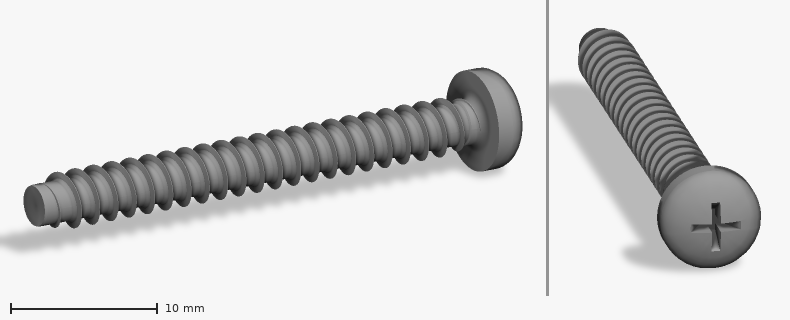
import cadquery as cq
import math


total_length = 38.05
head_height = 3.05
head_radius = 3.5
rim_height = 1.15
underhead_y = total_length - head_height
rim_y = underhead_y + rim_height

recess_span = 3.8
recess_floor_span = 1.52
recess_width = 0.6
recess_depth = 1.9

core_radius = 1.45
neck_radius = 1.55
neck_fillet = 0.57
neck_length = 1.03
tip_radius = 1.4
tip_taper_length = 0.2
tip_dish_depth = 0.15

crest_radius = 2.0
crest_width = 0.05
shoulder_radius = 1.6
shoulder_width = 0.23
foot_width = 0.95
foot_burial = 0.05

first_crossing_y = 2.55
last_crossing_y = 31.75
turns_between = 20
pitch = (last_crossing_y - first_crossing_y) / turns_between

thread_start_y = 0.5
thread_full_y = 2.13
thread_fade_y = 32.57
thread_end_y = 34.8
start_sink = 0.6
end_sink = 0.4
points_per_turn = 16


def make_body():
    """Revolve the domed head, neck, core and tip in one outline."""
    fillet_mid = neck_fillet * (1 - math.sqrt(0.5))
    neck_end_y = underhead_y - neck_length
    return (
        cq.Workplane("XY")
        .moveTo(0, 0)
        .lineTo(tip_radius, 0)
        .lineTo(core_radius, tip_taper_length)
        .lineTo(core_radius, neck_end_y - (neck_radius - core_radius))
        .lineTo(neck_radius, neck_end_y)
        .lineTo(neck_radius, underhead_y - neck_fillet)
        .threePointArc(
            (neck_radius + fillet_mid, underhead_y - fillet_mid),
            (neck_radius + neck_fillet, underhead_y),
        )
        .lineTo(head_radius, underhead_y)
        .lineTo(head_radius, rim_y)
        .ellipseArc(head_radius, total_length - rim_y, 0, 90, sense=1)
        .close()
        .revolve(360, (0, 0, 0), (0, 1, 0))
    )


def make_tip_dish():
    """Shallow hollow cone in the flat end of the tip."""
    return (
        cq.Workplane("XY")
        .polyline([(0, 0), (tip_radius, 0), (0, tip_dish_depth)])
        .close()
        .revolve(360, (0, 0, 0), (0, 1, 0))
    )


def make_recess():
    """Two crossed wings whose outer ends taper inwards towards the floor."""
    floor_y = total_length - recess_depth
    wing = (
        cq.Workplane("XY")
        .moveTo(-recess_floor_span / 2, floor_y)
        .lineTo(recess_floor_span / 2, floor_y)
        .lineTo(recess_span / 2, total_length)
        .lineTo(-recess_span / 2, total_length)
        .close()
        .extrude(recess_width / 2, both=True)
    )
    return wing.union(wing.rotate((0, 0, 0), (0, 1, 0), 90))


def tooth_sink(y):
    """Inward shift of the tooth, which fades it into the shank at both ends."""
    if y < thread_full_y:
        return start_sink * (thread_full_y - y) / (thread_full_y - thread_start_y)
    if y > thread_fade_y:
        return end_sink * (y - thread_fade_y) / (thread_end_y - thread_fade_y)
    return 0.0


def tooth_edge(radius, offset, start_y, end_y):
    """One long edge of the right-handed tooth, offset along the axis from its middle."""
    steps = math.ceil((end_y - start_y) / pitch * points_per_turn)
    points = []
    for step in range(steps + 1):
        y = start_y + (end_y - start_y) * step / steps
        angle = 2 * math.pi * (y - first_crossing_y) / pitch
        edge_radius = radius - tooth_sink(y)
        points.append(
            cq.Vector(edge_radius * math.cos(angle), y + offset, -edge_radius * math.sin(angle))
        )
    return cq.Edge.makeSpline(points)


def make_thread():
    """Close the tooth with ruled faces between its edges and a flat cap at each end."""
    profile = [
        (core_radius - foot_burial, -foot_width / 2),
        (shoulder_radius, -shoulder_width / 2),
        (crest_radius, -crest_width / 2),
        (crest_radius, crest_width / 2),
        (shoulder_radius, shoulder_width / 2),
        (core_radius - foot_burial, foot_width / 2),
    ]
    edges = [tooth_edge(radius, offset, thread_start_y, thread_end_y) for radius, offset in profile]
    faces = [
        cq.Face.makeRuledSurface(edge, edges[(index + 1) % len(edges)])
        for index, edge in enumerate(edges)
    ]
    for position in (0, 1):
        corners = [edge.positionAt(position) for edge in edges]
        faces.append(cq.Face.makeFromWires(cq.Wire.makePolygon(corners, close=True)))
    return cq.Workplane(cq.Solid.makeSolid(cq.Shell.makeShell(faces)))


result = make_body().union(make_thread()).cut(make_recess()).cut(make_tip_dish())